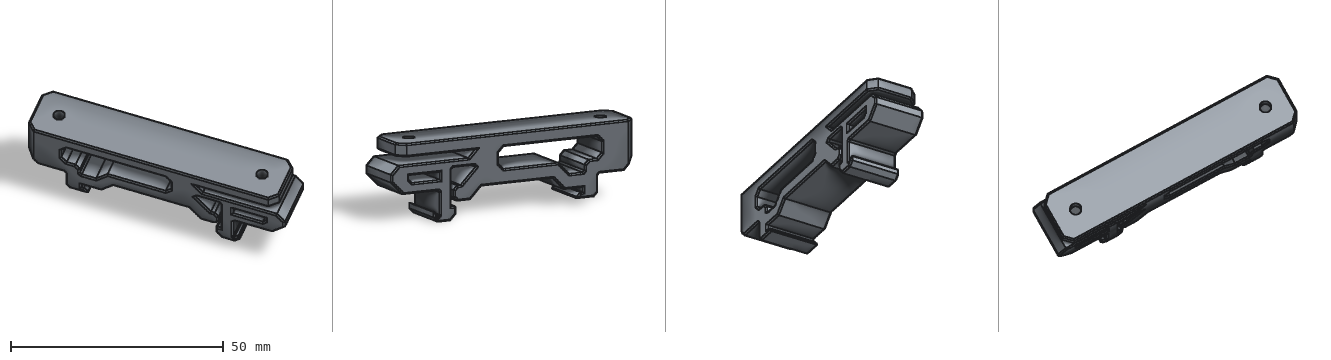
import cadquery as cq

LENGTH = 65.0
WIDTH = 13.0
HEIGHT = 19.6
EDGE_CHAMFER = 0.4
INNER_CORNER = 0.45

RAIL_LENGTH = 62.9
RAIL_THICKNESS = 3.2
RAIL_CORNER = 2.0
RAIL_BOTTOM = -RAIL_THICKNESS

HOLE_DIAMETER = 2.7
HOLE_INSET = 6.0
HOLE_DEPTH = RAIL_THICKNESS

BODY_BOTTOM = -12.1
BODY_SLOPE = 3.0
STEP_BOTTOM = -15.1
STEP_RISE = BODY_BOTTOM - STEP_BOTTOM
FOOT_STEP_END = 19.0
STOP_STEP_START = 43.95

LEDGE = -16.25
FOOT_LEFT = 10.0
FOOT_RIGHT = 13.9
FOOT_BOTTOM = -17.6
FOOT_CORNER = 1.0
TOE_START = 14.55
TOE_END = 15.55

STOP_RIGHT = 48.35
STOP_TOP = -11.4
STOP_CORNER = 1.0
RAMP_FOOT = 46.4
RAMP_RISE = 3.95
POCKET_TOP = -6.9

STEM_LEFT = 48.95
STEM_RIGHT = 52.05
HOOK_LEFT = 47.7
HOOK_RIGHT = 53.6
HOOK_BOTTOM = -HEIGHT
HOOK_LEFT_CORNER = 1.5
HOOK_RIGHT_CORNER = 1.2
HOOK_TOP_CORNER = 0.3
HOOK_TIP = -17.15
BARB_BOTTOM = -18.2
BARB_CORNER = 0.25

ARM_TOP = -5.1
ARM_TOP_CORNER = 2.0
ARM_BOTTOM_CORNER = 3.1
GAP_APEX = 42.5

WINDOW_LEFT = 8.85
WINDOW_RIGHT = 36.4
WINDOW_BOTTOM = -8.6
WINDOW_CORNER = 1.35
NOTCH_LEFT = 13.5
NOTCH_RIGHT = 17.55
NOTCH_BOTTOM = -11.5
NOTCH_LIP = 1.1

SLOT_LEFT = 51.95
SLOT_RIGHT = 60.25
SLOT_TOP = -7.7
SLOT_BOTTOM = -9.55
SLOT_CORNER = 0.85

solid_end_outline = [
    (0, 0),
    (0, BODY_BOTTOM + BODY_SLOPE),
    (BODY_SLOPE, BODY_BOTTOM),
    (FOOT_LEFT - INNER_CORNER, BODY_BOTTOM),
    (FOOT_LEFT, BODY_BOTTOM - INNER_CORNER),
]

foot_outline = [
    (FOOT_LEFT, FOOT_BOTTOM + FOOT_CORNER),
    (FOOT_LEFT + FOOT_CORNER, FOOT_BOTTOM),
    (TOE_START + LEDGE - FOOT_BOTTOM, FOOT_BOTTOM),
    (TOE_START, LEDGE),
    (FOOT_RIGHT, LEDGE),
    (FOOT_RIGHT, STEP_BOTTOM),
]

underside_outline = [
    (FOOT_STEP_END, STEP_BOTTOM),
    (FOOT_STEP_END + STEP_RISE, BODY_BOTTOM),
    (STOP_STEP_START - STEP_RISE, BODY_BOTTOM),
    (STOP_STEP_START, STEP_BOTTOM),
]

pocket_corner_rise = POCKET_TOP - STOP_TOP - RAMP_RISE
ramp_top = RAMP_FOOT - RAMP_RISE
stop_outline = [
    (STOP_RIGHT - STOP_CORNER, STEP_BOTTOM),
    (STOP_RIGHT, STEP_BOTTOM + STOP_CORNER),
    (STOP_RIGHT, STOP_TOP - STOP_CORNER),
    (STOP_RIGHT - STOP_CORNER, STOP_TOP),
    (RAMP_FOOT, STOP_TOP),
    (ramp_top, STOP_TOP + RAMP_RISE),
    (ramp_top + pocket_corner_rise, POCKET_TOP),
    (STEM_LEFT - INNER_CORNER, POCKET_TOP),
    (STEM_LEFT, POCKET_TOP - INNER_CORNER),
]

barb_start = STEM_RIGHT + BARB_CORNER
hook_outline = [
    (STEM_LEFT, LEDGE),
    (HOOK_LEFT + HOOK_TOP_CORNER, LEDGE),
    (HOOK_LEFT, LEDGE - HOOK_TOP_CORNER),
    (HOOK_LEFT, HOOK_BOTTOM + HOOK_LEFT_CORNER),
    (HOOK_LEFT + HOOK_LEFT_CORNER, HOOK_BOTTOM),
    (HOOK_RIGHT - HOOK_RIGHT_CORNER, HOOK_BOTTOM),
    (HOOK_RIGHT, HOOK_BOTTOM + HOOK_RIGHT_CORNER),
    (HOOK_RIGHT, BARB_BOTTOM + HOOK_RIGHT - barb_start),
    (barb_start, BARB_BOTTOM),
    (STEM_RIGHT, BARB_BOTTOM + BARB_CORNER),
]

arm_outline = [
    (STEM_RIGHT, BODY_BOTTOM - INNER_CORNER),
    (STEM_RIGHT + INNER_CORNER, BODY_BOTTOM),
    (LENGTH - ARM_BOTTOM_CORNER, BODY_BOTTOM),
    (LENGTH, BODY_BOTTOM + ARM_BOTTOM_CORNER),
    (LENGTH, ARM_TOP - ARM_TOP_CORNER),
    (LENGTH - ARM_TOP_CORNER, ARM_TOP),
    (GAP_APEX + RAIL_BOTTOM - ARM_TOP, ARM_TOP),
]

free_end_outline = [
    (GAP_APEX, RAIL_BOTTOM),
    (RAIL_LENGTH, RAIL_BOTTOM),
    (RAIL_LENGTH, 0),
]

profile = (
    solid_end_outline
    + foot_outline
    + underside_outline
    + stop_outline
    + hook_outline
    + arm_outline
    + free_end_outline
)

window = [
    (WINDOW_LEFT + WINDOW_CORNER, RAIL_BOTTOM),
    (WINDOW_RIGHT - WINDOW_CORNER, RAIL_BOTTOM),
    (WINDOW_RIGHT, RAIL_BOTTOM - WINDOW_CORNER),
    (WINDOW_RIGHT, WINDOW_BOTTOM + WINDOW_CORNER),
    (WINDOW_RIGHT - WINDOW_CORNER, WINDOW_BOTTOM),
    (NOTCH_RIGHT + WINDOW_BOTTOM - NOTCH_BOTTOM, WINDOW_BOTTOM),
    (NOTCH_RIGHT, NOTCH_BOTTOM),
    (NOTCH_LEFT + INNER_CORNER, NOTCH_BOTTOM),
    (NOTCH_LEFT, NOTCH_BOTTOM + INNER_CORNER),
    (NOTCH_LEFT, WINDOW_BOTTOM - NOTCH_LIP),
    (NOTCH_LEFT - NOTCH_LIP, WINDOW_BOTTOM),
    (WINDOW_LEFT + WINDOW_CORNER, WINDOW_BOTTOM),
    (WINDOW_LEFT, WINDOW_BOTTOM + WINDOW_CORNER),
    (WINDOW_LEFT, RAIL_BOTTOM - WINDOW_CORNER),
]

slot = [
    (SLOT_LEFT, SLOT_TOP),
    (SLOT_RIGHT, SLOT_TOP),
    (SLOT_RIGHT, SLOT_BOTTOM + SLOT_CORNER),
    (SLOT_RIGHT - SLOT_CORNER, SLOT_BOTTOM),
    (SLOT_LEFT, SLOT_BOTTOM),
]


def across(outline):
    """Extrude an X-Z outline over the full width of the part."""
    return cq.Workplane("XZ").polyline(outline).close().extrude(WIDTH / 2, both=True)


def block(x_start, x_end, z_low, z_high):
    """Full-width box between two X and two Z positions."""
    return across([(x_start, z_low), (x_end, z_low), (x_end, z_high), (x_start, z_high)])


def rail_prism(depth, chamfered_faces):
    """Rail plan with four cut corners, run down from the top face and chamfered."""
    return (
        cq.Workplane("XY")
        .center(RAIL_LENGTH / 2, 0)
        .rect(RAIL_LENGTH, WIDTH)
        .extrude(-depth)
        .edges("|Z")
        .chamfer(RAIL_CORNER)
        .faces(chamfered_faces)
        .edges()
        .chamfer(EDGE_CHAMFER)
    )


def make_profiled_body():
    """Extruded side profile with its openings, chamfered along both flanks."""
    body = across(profile).cut(across(window)).cut(across(slot))
    body = body.faces("<Y or >Y").edges().chamfer(EDGE_CHAMFER)
    toe_trim = block(TOE_END, FOOT_STEP_END, FOOT_BOTTOM, LEDGE)
    barb_trim = block(STEM_RIGHT, HOOK_RIGHT, HOOK_TIP, LEDGE)
    return body.cut(toe_trim).cut(barb_trim)


def make_envelope():
    """Limits of the part: corners cut to full depth at one end, only in the rail at the other."""
    solid_end = rail_prism(HEIGHT, ">Z").intersect(block(0, GAP_APEX, HOOK_BOTTOM, 0))
    free_rail = rail_prism(RAIL_THICKNESS, "<Z or >Z")
    below_rail = block(GAP_APEX, LENGTH, HOOK_BOTTOM, RAIL_BOTTOM)
    return solid_end.union(free_rail).union(below_rail)


def make_screw_holes():
    """Two holes down from the top face, one near each end of the rail."""
    return (
        cq.Workplane("XY")
        .pushPoints([(HOLE_INSET, 0), (RAIL_LENGTH - HOLE_INSET, 0)])
        .circle(HOLE_DIAMETER / 2)
        .extrude(-HOLE_DEPTH)
    )


result = make_profiled_body().intersect(make_envelope()).cut(make_screw_holes())